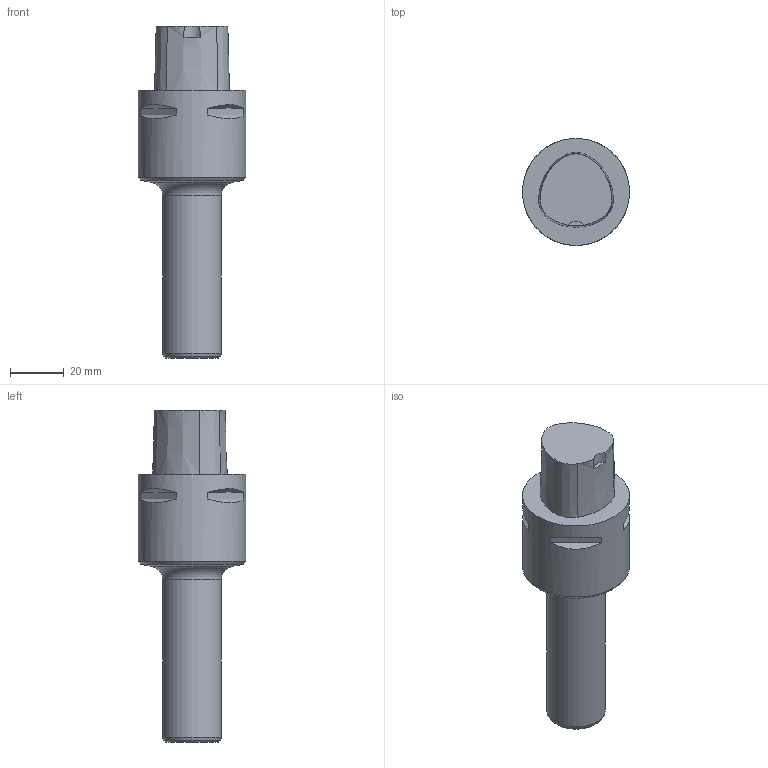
import cadquery as cq
import math

flange_radius = 20.0
flange_cylinder_length = 32.5
flange_chamfer_width = 0.8
flange_chamfer_height = 1.1
underside_angle = math.radians(11.0)

shank_radius = 11.0
shank_end_z = -100.0
shank_tip_radius = 10.0
shank_lead_in_height = 1.7
shank_lead_in_width = 0.3
shank_chamfer_height = 0.7
neck_fillet_radius = 5.0

polygon_height = 24.0
polygon_taper = math.degrees(math.atan(1.0 / 40.0))
lobe_centre_distance = 5.93
lobe_radius = 8.85
lobe_half_span = 30.0
lobe_directions = (90.0, 210.0, 330.0)

keyway_radius = 3.9
keyway_centre_y = -14.9
keyway_depth = 4.2

notch_directions = (45.0, 135.0, 225.0, 315.0)
notch_centre_z = -8.0
notch_floor_distance = 17.65
notch_floor_height = 2.5
notch_flank_angle = math.radians(30.0)
cut_overshoot = 2.0


def polar(radius, degrees):
    angle = math.radians(degrees)
    return radius * math.cos(angle), radius * math.sin(angle)


def make_turned_body():
    """Flange and shank, revolved around Z as one profile."""
    chamfer_start_z = -flange_cylinder_length
    rim_radius = flange_radius - flange_chamfer_width
    rim_z = chamfer_start_z - flange_chamfer_height

    fillet_centre_r = shank_radius + neck_fillet_radius
    fillet_top_r = fillet_centre_r - neck_fillet_radius * math.sin(underside_angle)
    fillet_top_z = rim_z - (rim_radius - fillet_top_r) * math.tan(underside_angle)
    fillet_centre_z = fillet_top_z - neck_fillet_radius * math.cos(underside_angle)
    middle_angle = (math.pi + math.pi / 2 + underside_angle) / 2
    fillet_middle = (
        fillet_centre_r + neck_fillet_radius * math.cos(middle_angle),
        fillet_centre_z + neck_fillet_radius * math.sin(middle_angle),
    )

    profile = (
        cq.Workplane("XZ")
        .lineTo(flange_radius, 0)
        .lineTo(flange_radius, chamfer_start_z)
        .lineTo(rim_radius, rim_z)
        .lineTo(fillet_top_r, fillet_top_z)
        .threePointArc(fillet_middle, (shank_radius, fillet_centre_z))
        .lineTo(shank_radius, shank_end_z + shank_lead_in_height)
        .lineTo(shank_radius - shank_lead_in_width, shank_end_z + shank_chamfer_height)
        .lineTo(shank_tip_radius, shank_end_z)
        .lineTo(0, shank_end_z)
        .close()
    )
    return profile.revolve(360, (0, 0, 0), (0, 1, 0))


def lobe_point(direction, arc_angle):
    """Point on a lobe's arc, at arc_angle degrees from the lobe's tip."""
    centre_x, centre_y = polar(lobe_centre_distance, direction)
    offset_x, offset_y = polar(lobe_radius, direction + arc_angle)
    return centre_x + offset_x, centre_y + offset_y


def make_polygon():
    """Tapered polygon: lobe arcs joined tangentially by flatter side arcs."""
    side_radius = lobe_radius + lobe_centre_distance * math.sqrt(3)
    side_distance = side_radius - lobe_centre_distance
    lobe_pitch = 360.0 / len(lobe_directions)

    outline = cq.Workplane("XY").moveTo(*lobe_point(lobe_directions[0], -lobe_half_span))
    for direction in lobe_directions:
        lobe_tip = lobe_point(direction, 0)
        lobe_end = lobe_point(direction, lobe_half_span)
        side_middle = polar(side_distance, direction + lobe_pitch / 2)
        next_lobe_start = lobe_point(direction + lobe_pitch, -lobe_half_span)
        outline = outline.threePointArc(lobe_tip, lobe_end)
        outline = outline.threePointArc(side_middle, next_lobe_start)
    return outline.close().extrude(polygon_height, taper=polygon_taper)


def make_keyway():
    """Round-bottomed groove that opens at the polygon's top face."""
    return (
        cq.Workplane("XY", origin=(0, keyway_centre_y, polygon_height - keyway_depth))
        .circle(keyway_radius)
        .extrude(keyway_depth + cut_overshoot)
    )


def make_notch(direction):
    """Straight groove with sloped flanks, across the flange at one direction."""
    outer_distance = flange_radius + cut_overshoot
    floor_half = notch_floor_height / 2
    flank_rise = (outer_distance - notch_floor_distance) * math.tan(notch_flank_angle)
    mouth_half = floor_half + flank_rise
    section = [
        (notch_floor_distance, notch_centre_z - floor_half),
        (outer_distance, notch_centre_z - mouth_half),
        (outer_distance, notch_centre_z + mouth_half),
        (notch_floor_distance, notch_centre_z + floor_half),
    ]
    groove = cq.Workplane("XZ").polyline(section).close().extrude(flange_radius, both=True)
    return groove.rotate((0, 0, 0), (0, 0, 1), direction)


result = make_turned_body().union(make_polygon()).cut(make_keyway())
for notch_direction in notch_directions:
    result = result.cut(make_notch(notch_direction))